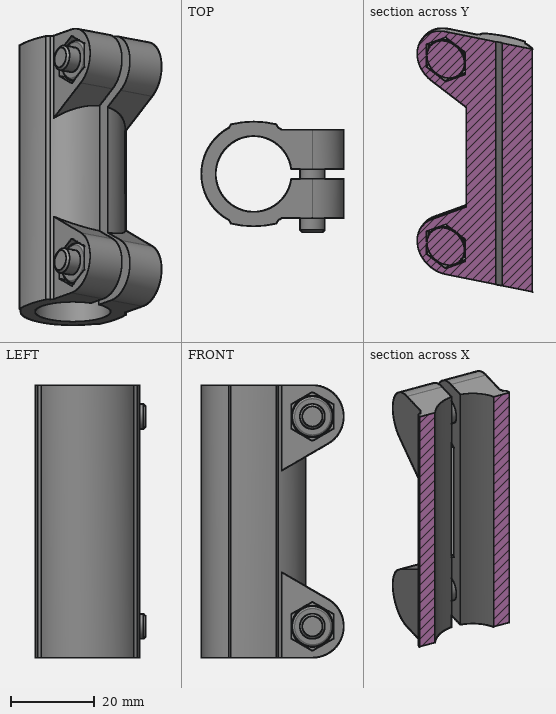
import cadquery as cq
import math

tube_length = 65.0
tube_radius = 12.5
bore_radius = 9.0
slit_width = 2.35

band_top_half_width = 5.4
band_base_half_width = 5.9
band_edge_y = 11.85

lug_radius = 7.5
lug_root_x = 6.7
lug_half_depth = math.sqrt(tube_radius**2 - lug_root_x**2)
lug_slope = math.radians(30)
bolt_x = 14.0
bolt_z = tube_length / 2 - lug_radius

bolt_radius = 3.0
bolt_tip_y = -13.92
bolt_tip_chamfer = 0.6
pocket_width = 10.1
pocket_sides = 6
pocket_turn = 180 / pocket_sides
pocket_corner_diameter = pocket_width / math.cos(math.pi / pocket_sides)
pocket_depth = 2.0
pocket_floor_y = -lug_half_depth + pocket_depth
flange_radius = 4.95
flange_height = 0.8
collar_radius = 4.8
collar_recess = 0.4
collar_face_y = -lug_half_depth + collar_recess
collar_round = 0.5


def y_cylinder(radius, y_start, y_end):
    """Cylinder on the bolt axis of the upper lug, from y_start to y_end."""
    return (
        cq.Workplane("XZ", origin=(bolt_x, y_start, bolt_z))
        .circle(radius)
        .extrude(y_start - y_end)
    )


def make_tube():
    """Solid round bar with a raised band on each side."""
    bar = cq.Workplane("XY").circle(tube_radius).extrude(tube_length / 2, both=True)
    band_base_y = math.sqrt(tube_radius**2 - band_base_half_width**2)
    for side in (1, -1):
        band = (
            cq.Workplane("XY")
            .moveTo(-band_base_half_width, 0)
            .lineTo(-band_base_half_width, side * band_base_y)
            .lineTo(-band_top_half_width, side * band_edge_y)
            .threePointArc((0, side * tube_radius), (band_top_half_width, side * band_edge_y))
            .lineTo(band_base_half_width, side * band_base_y)
            .lineTo(band_base_half_width, 0)
            .close()
            .extrude(tube_length / 2, both=True)
        )
        bar = bar.union(band)
    return bar


def make_upper_lug():
    """Lug with a rounded nose, a flat top and a sloped underside tangent to the nose."""
    tangent_x = bolt_x + lug_radius * math.sin(lug_slope)
    tangent_z = bolt_z - lug_radius * math.cos(lug_slope)
    root_z = tangent_z - (tangent_x - lug_root_x) * math.tan(lug_slope)
    return (
        cq.Workplane("XZ")
        .moveTo(lug_root_x, root_z)
        .lineTo(lug_root_x, tube_length / 2)
        .lineTo(bolt_x, tube_length / 2)
        .threePointArc((bolt_x + lug_radius, bolt_z), (tangent_x, tangent_z))
        .close()
        .extrude(lug_half_depth, both=True)
    )


def make_nut_pocket():
    """Hexagonal pocket with two of its corners pointing along Z."""
    return (
        cq.Workplane("XZ", origin=(bolt_x, pocket_floor_y, bolt_z))
        .polygon(pocket_sides, pocket_corner_diameter)
        .extrude(pocket_depth)
        .rotate((bolt_x, 0, bolt_z), (bolt_x, 1, bolt_z), pocket_turn)
    )


def make_bolt():
    """Bolt shank with a chamfered tip, and the round nut with its rounded collar."""
    shank = y_cylinder(bolt_radius, lug_half_depth, bolt_tip_y)
    shank = shank.faces("<Y").chamfer(bolt_tip_chamfer)
    flange = y_cylinder(flange_radius, pocket_floor_y, pocket_floor_y - flange_height)
    collar = y_cylinder(collar_radius, pocket_floor_y, collar_face_y)
    collar = collar.faces("<Y").edges().fillet(collar_round)
    return shank.union(flange).union(collar)


def at_both_ends(upper):
    """The given upper shape together with its mirror image at the lower end."""
    return upper.union(upper.mirror("XY"))


bore = cq.Workplane("XY").circle(bore_radius).extrude(tube_length / 2, both=True)
slit_reach = bolt_x + lug_radius
slit = cq.Workplane("XY").box(slit_reach, slit_width, tube_length, centered=(False, True, True))

body = make_tube().union(at_both_ends(make_upper_lug()))
body = body.cut(bore).cut(slit).cut(at_both_ends(make_nut_pocket()))
result = body.union(at_both_ends(make_bolt()))